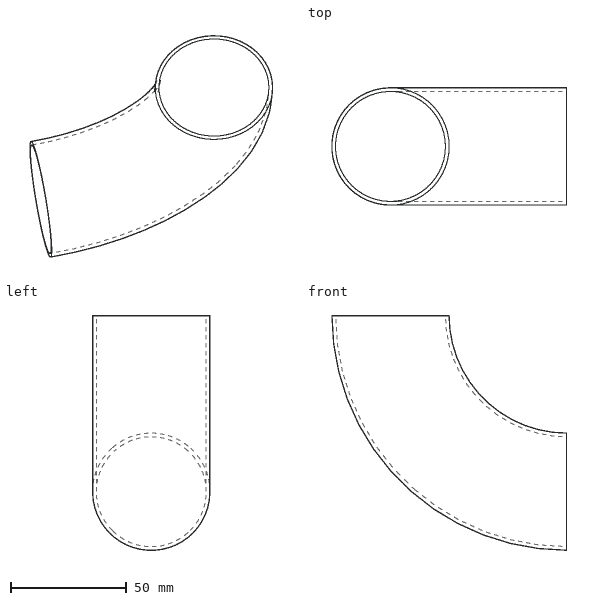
import cadquery as cq

outer_reach = 101.6
pipe_diameter = 50.8
wall_thickness = 1.6
bend_angle = 90.0

outer_radius = pipe_diameter / 2
inner_radius = outer_radius - wall_thickness
bend_radius = outer_reach - outer_radius

result = (
    cq.Workplane("XY")
    .center(-bend_radius, 0)
    .circle(outer_radius)
    .circle(inner_radius)
    .revolve(bend_angle, (bend_radius, 0, 0), (bend_radius, -1, 0))
)